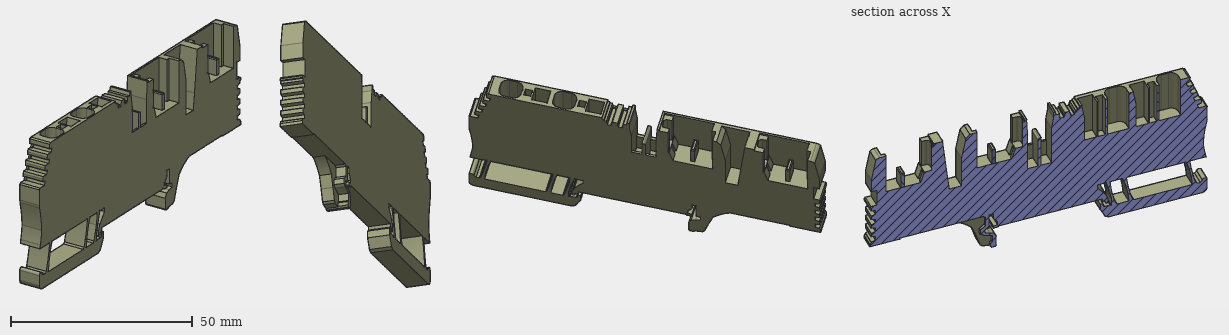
import cadquery as cq
WIDTH = 6.5
HALF_LENGTH = 50.0
HEIGHT = 42.7

SOLE = 11.5
LATCH_CEILING = 11.8
FOOT_CEILING = 12.5
RAIL_SEAT = 7.0

OUTER_WALL = 0.6
THICK_WALL = 0.9

TOOTH_TIP = 49.6
TOOTH_ROOT = 48.4
TOOTH_GAP_COUNT = 4
TOOTH_PITCH = 3.1
FIRST_TOOTH_GAP = 14.1
TOOTH_MOUTH = 1.8
TOOTH_FLOOR = 1.1

RIDGE_COUNT = 4
RIDGE_RUN = 1.1
RIDGE_DROP = 2.9
RIDGE_START_Y = -45.0
RIDGE_START_Z = 41.0
RIDGE_SHELF_DROP = 1.4
NOTCH_DEPTH = 0.8
NOTCH_FOOT_DEPTH = 0.4
NOTCH_TAPER = 0.3
SHELF_REACH = 0.9
SHELF_BEVEL = 0.7
SHELF_CHAMFER = 0.4

GROOVE_EXTRA = 0.4

SLOT_FLOOR = 30.0
SLOT_PLUS_Y = 3.2
SLOT_MINUS_Y = -3.8
TONGUE_PLUS_Y = 0.2
TONGUE_MINUS_Y = -0.8
TONGUE_TOP = 34.8
TONGUE_RADIUS = 0.5
SLOT_FLARE_Z = 37.3
SLOT_POCKET_DEPTH = 5.0

POCKET_PITCH = 27.0
POCKET_FLOOR = SLOT_FLOOR
POCKET_CENTRE_X = (OUTER_WALL + WIDTH) / 2
FIRST_POCKET_Y = 46.3
POCKET_STEP = 1.1
POCKET_LENGTH = 12.7
GUIDE_LENGTH = 2.5
GUIDE_DROP = 0.6
GUIDE_RAMP_TOP = 33.4
GUIDE_RAMP_LENGTH = 1.1
GUIDE_LEDGE = 0.3
GUIDE_GROOVE_WIDTH = 2.8
GUIDE_GROOVE_LENGTH = 2.2
GUIDE_GROOVE_RADIUS = 0.9
GUIDE_SLIT_WIDTH = 0.9

BLADE_COUNT = 2
BLADE_CENTRE_X = 3.4
BLADE_WIDTH = 3.9
BLADE_THICKNESS = 1.2
BLADE_HEIGHT = 5.0
BLADE_CHAMFER = 0.3
FIRST_BLADE_Y = 40.3

PLAIN_POCKET_PLUS_Y = 28.4
PLAIN_POCKET_MINUS_Y = 20.4
PLAIN_POCKET_FLOOR = 25.0

TERMINAL_PITCH = 15.3
TERMINAL_COUNT = 2
FIRST_TERMINAL_Y = -15.0
SQUARE_WIDTH = 4.2
SQUARE_LENGTH = 4.4
SQUARE_RAMP_LENGTH = 0.9
SQUARE_RAMP_DEPTH = 5.0
TEST_HOLE_WIDTH = 2.0
TEST_HOLE_LENGTH = 2.0
TEST_HOLE_OFFSET = 3.7
WIRE_HOLE_WIDTH = 5.6
WIRE_HOLE_LENGTH = 6.3
WIRE_HOLE_RADIUS = 2.0
WIRE_HOLE_OFFSET = 8.6
OPENING_FLOOR = SLOT_FLOOR

WEB_START_X = 3.0
FOOT_DECK = 4.0
STRUT_PITCH = 18.8
CURVED_STRUT_COUNT = 2
FIRST_STRUT_Y = -24.9

LATCH_ROOT = LATCH_CEILING + 1.0


def plate(outline, x_start=0.0, x_end=WIDTH):
    """Extrude a closed (Y, Z) outline along X."""
    return cq.Workplane("YZ", origin=(x_start, 0, 0)).polyline(outline).close().extrude(x_end - x_start)


def block(x_range, y_range, z_range):
    """Axis-aligned box between the given limits."""
    size = [high - low for low, high in (x_range, y_range, z_range)]
    corner = (x_range[0], y_range[0], z_range[0])
    return cq.Workplane("XY").box(*size, centered=False).translate(corner)


def centred(middle, size):
    """Limits of a stretch of the given size about its middle."""
    return (middle - size / 2, middle + size / 2)


def ridge_tip(index):
    """Lower corner of a ridge on the -Y end, counted from the top."""
    return RIDGE_START_Y - index * RIDGE_RUN, RIDGE_START_Z - index * RIDGE_DROP


def ridge_outline():
    """Notches between the ridges, from the housing top down to the shelf below the last ridge."""
    points = [(RIDGE_START_Y + 0.6, HEIGHT), (RIDGE_START_Y, HEIGHT - 0.3)]
    for index in range(RIDGE_COUNT):
        y, z = ridge_tip(index)
        shelf_z = z - RIDGE_SHELF_DROP
        points += [(y, z), (y + NOTCH_DEPTH, z - NOTCH_TAPER)]
        points += [(y + NOTCH_FOOT_DEPTH, shelf_z), (y - SHELF_REACH, shelf_z)]
        if index < RIDGE_COUNT - 1:
            points.append((y - RIDGE_RUN, shelf_z - SHELF_BEVEL))
    return points


def housing_outline():
    """Housing side face before the tooth gaps, slot and label grooves are cut, without latch and foot."""
    shelf_z = ridge_tip(RIDGE_COUNT - 1)[1] - RIDGE_SHELF_DROP
    rail_block = [
        (13.4, LATCH_CEILING), (13.4, 10.2), (12.2, 8.5), (12.2, 7.7), (13.4, 7.6), (13.4, 6.7), (12.0, 6.7),
        (11.7, RAIL_SEAT), (-18.8, RAIL_SEAT),
        (-19.0, 6.1), (-19.7, 5.8), (-20.0, 5.2), (-20.6, 5.2), (-20.6, 6.8), (-20.0, 8.4), (-17.6, 11.4),
        (-17.6, FOOT_CEILING),
    ]
    plus_y_end = [
        (48.3, 42.1), (TOOTH_TIP, 35.5), (TOOTH_TIP, 31.1), (48.0, 31.1), (48.0, 26.0), (49.7, 26.0),
        (HALF_LENGTH, 25.6), (HALF_LENGTH, 25.1), (TOOTH_TIP, 25.0), (TOOTH_TIP, 13.1),
        (HALF_LENGTH, 12.4), (HALF_LENGTH, SOLE), (41.1, SOLE), (41.1, LATCH_CEILING),
    ]
    return (
        cq.Workplane("YZ")
        .moveTo(47.1, HEIGHT)
        .threePointArc((47.8, 42.5), plus_y_end[0])
        .polyline(plus_y_end[1:] + rail_block, includeCurrent=True)
        .lineTo(-49.7, FOOT_CEILING)
        .lineTo(-49.5, 13.6)
        .threePointArc((-49.1, 15.7), (-48.9, 17.8))
        .threePointArc((-49.2, 21.4), (-49.9, 25.0))
        .lineTo(-HALF_LENGTH, 25.8)
        .lineTo(-HALF_LENGTH, shelf_z - SHELF_CHAMFER)
        .lineTo(-HALF_LENGTH + SHELF_CHAMFER, shelf_z)
        .polyline(ridge_outline()[::-1], includeCurrent=True)
        .close()
    )


def tooth_gaps():
    """Tapered gaps between the grip teeth of the +Y end."""
    gaps = []
    for index in range(TOOTH_GAP_COUNT):
        z = FIRST_TOOTH_GAP + index * TOOTH_PITCH
        mouth_low, mouth_high = centred(z, TOOTH_MOUTH)
        floor_low, floor_high = centred(z, TOOTH_FLOOR)
        gaps.append(plate([
            (HALF_LENGTH, mouth_low), (TOOTH_TIP, mouth_low), (TOOTH_ROOT, floor_low),
            (TOOTH_ROOT, floor_high), (TOOTH_TIP, mouth_high), (HALF_LENGTH, mouth_high),
        ]))
    return gaps


def ridge_reliefs():
    """Extra depth of the ridge notches behind the outer wall."""
    reliefs = []
    for index in range(RIDGE_COUNT):
        y, z = ridge_tip(index)
        shelf_z = z - RIDGE_SHELF_DROP
        reliefs.append(plate([
            (y + NOTCH_DEPTH, z - NOTCH_TAPER),
            (y + NOTCH_DEPTH + GROOVE_EXTRA, z - NOTCH_TAPER),
            (y + NOTCH_FOOT_DEPTH + GROOVE_EXTRA, shelf_z),
            (y + NOTCH_FOOT_DEPTH, shelf_z),
        ], OUTER_WALL))
    return reliefs


def label_recess():
    """Recess with two grooves and a rib between them that holds a marker strip."""
    groove_floor = 40.5
    rib_top = 41.7
    recess = plate([
        (-5.0, HEIGHT), (-5.3, rib_top), (-6.2, rib_top), (-6.2, groove_floor), (-7.7, groove_floor),
        (-7.7, rib_top), (-9.2, rib_top), (-9.5, groove_floor), (-10.7, groove_floor), (-10.9, 41.5),
        (-11.5, 41.6), (-11.6, 41.9), (-12.2, 42.2), (-12.2, HEIGHT),
    ])
    deep = (groove_floor - GROOVE_EXTRA, groove_floor)
    inner = (OUTER_WALL, WIDTH)
    return [recess, block(inner, (-7.5, -6.4), deep), block(inner, (-10.6, -9.6), deep)]


def bridge_slot():
    """Slot in the top, leaving the tongue, with a pocket on each side of the tongue."""
    slot = plate([
        (3.5, HEIGHT), (SLOT_PLUS_Y, SLOT_FLARE_Z), (SLOT_PLUS_Y, SLOT_FLOOR), (SLOT_MINUS_Y, SLOT_FLOOR),
        (SLOT_MINUS_Y, SLOT_FLARE_Z), (-4.4, 41.0), (-4.4, HEIGHT),
    ])
    tongue = (
        block((0, WIDTH), (TONGUE_MINUS_Y, TONGUE_PLUS_Y), (SLOT_FLOOR, TONGUE_TOP))
        .edges(">Y and >Z").fillet(TONGUE_RADIUS)
    )
    across = (THICK_WALL, WIDTH - OUTER_WALL)
    depth = (SLOT_FLOOR - SLOT_POCKET_DEPTH, SLOT_FLOOR)
    return [
        slot.cut(tongue),
        block(across, (TONGUE_PLUS_Y, SLOT_PLUS_Y), depth),
        block(across, (SLOT_MINUS_Y, TONGUE_MINUS_Y), depth),
    ]


def blade_pocket(index):
    """Pocket for one contact blade, with a grooved guide block at its -Y end."""
    plus_y = FIRST_POCKET_Y - index * POCKET_PITCH
    guide_face = plus_y - POCKET_LENGTH
    ramp_head = guide_face + GUIDE_LEDGE
    ramp_foot = ramp_head + GUIDE_RAMP_LENGTH
    guide_top = HEIGHT - GUIDE_DROP
    pocket = plate([
        (plus_y, HEIGHT), (plus_y, POCKET_FLOOR), (ramp_foot, POCKET_FLOOR), (ramp_head, GUIDE_RAMP_TOP),
        (guide_face, GUIDE_RAMP_TOP), (guide_face, guide_top), (guide_face - GUIDE_LENGTH, guide_top),
        (guide_face - GUIDE_LENGTH, HEIGHT),
    ], OUTER_WALL)
    step = block((OUTER_WALL, WIDTH / 2), (plus_y - POCKET_STEP, plus_y), (POCKET_FLOOR, HEIGHT))
    groove = block(
        centred(POCKET_CENTRE_X, GUIDE_GROOVE_WIDTH),
        (guide_face - GUIDE_GROOVE_LENGTH, guide_face),
        (GUIDE_RAMP_TOP, guide_top),
    ).faces("<Y").edges("|Z").fillet(GUIDE_GROOVE_RADIUS)
    slit = block(
        centred(POCKET_CENTRE_X, GUIDE_SLIT_WIDTH), (ramp_head, ramp_foot), (POCKET_FLOOR, GUIDE_RAMP_TOP)
    )
    return [pocket.cut(step), groove, slit]


def plain_pocket():
    """Pocket with tapering ends between the two blade pockets, open towards +X."""
    taper_z = 30.0
    shoulder_z = 35.0
    pocket = plate([
        (PLAIN_POCKET_PLUS_Y, HEIGHT), (PLAIN_POCKET_PLUS_Y - 1.4, taper_z),
        (PLAIN_POCKET_PLUS_Y - 2.0, PLAIN_POCKET_FLOOR), (PLAIN_POCKET_MINUS_Y + 2.5, PLAIN_POCKET_FLOOR),
        (PLAIN_POCKET_MINUS_Y + 2.5, shoulder_z), (PLAIN_POCKET_MINUS_Y + 1.2, HEIGHT - 1.2),
        (PLAIN_POCKET_MINUS_Y, HEIGHT),
    ], THICK_WALL)
    return [pocket]


def terminal_openings(index):
    """Square, test and wire openings of one terminal."""
    y = FIRST_TERMINAL_Y - index * TERMINAL_PITCH
    x = WIDTH / 2
    depth = (OPENING_FLOOR, HEIGHT)
    square_plus_y = y + SQUARE_LENGTH / 2
    square_minus_y = y - SQUARE_LENGTH / 2
    square = plate([
        (square_plus_y, HEIGHT), (square_plus_y - SQUARE_RAMP_LENGTH, HEIGHT - SQUARE_RAMP_DEPTH),
        (square_plus_y - SQUARE_RAMP_LENGTH, OPENING_FLOOR), (square_minus_y, OPENING_FLOOR),
        (square_minus_y, HEIGHT),
    ], *centred(x, SQUARE_WIDTH))
    test_hole = block(centred(x, TEST_HOLE_WIDTH), centred(y - TEST_HOLE_OFFSET, TEST_HOLE_LENGTH), depth)
    wire_hole = block(
        centred(x, WIRE_HOLE_WIDTH), centred(y - WIRE_HOLE_OFFSET, WIRE_HOLE_LENGTH), depth
    ).edges("|Z").fillet(WIRE_HOLE_RADIUS)
    return [square, test_hole, wire_hole]


def rail_latch():
    """Flexible hook gripping one rail edge, stiffened by a web behind it."""
    return plate([
        (16.4, LATCH_ROOT), (16.4, LATCH_CEILING), (15.8, 11.3), (15.8, 8.5), (17.3, 7.3),
        (17.3, 5.8), (16.4, 5.1), (13.8, 4.1), (13.8, 2.0), (14.3, 1.5), (14.3, 0.5), (13.9, 0),
        (12.8, 0), (12.5, 0.4), (12.5, 3.7), (13.2, 5.0), (14.5, 5.5), (15.8, 5.9), (15.8, 7.0),
        (14.6, 7.2), (14.6, LATCH_ROOT),
    ])


def latch_web():
    """Web behind the latch hook, curving out from the housing underside."""
    return (
        cq.Workplane("YZ", origin=(WEB_START_X, 0, 0))
        .moveTo(15.2, LATCH_CEILING)
        .lineTo(24.3, LATCH_CEILING)
        .threePointArc((22.0, 10.5), (19.4, 8.2))
        .lineTo(18.1, 4.7)
        .lineTo(17.0, 1.3)
        .lineTo(16.4, 0.7)
        .lineTo(13.8, 0.3)
        .lineTo(13.8, 4.4)
        .lineTo(16.6, 5.5)
        .lineTo(16.6, 7.6)
        .lineTo(15.2, 8.5)
        .close()
        .extrude(WIDTH - WEB_START_X)
    )


def foot_bar():
    """Bar at the bottom with a lip at each end."""
    return (
        cq.Workplane("YZ")
        .polyline([
            (-47.9, FOOT_DECK), (-21.6, FOOT_DECK), (-21.2, 4.3), (-19.5, 4.3), (-19.1, 4.7), (-19.1, 5.5),
            (-18.2, 5.5), (-18.2, 3.5), (-19.7, 0.6), (-20.7, 0), (-48.5, 0),
        ])
        .threePointArc((-49.6, 0.5), (-HALF_LENGTH, 1.5))
        .lineTo(-HALF_LENGTH, 4.5)
        .threePointArc((-49.2, 5.2), (-48.5, 4.6))
        .close()
        .extrude(WIDTH)
    )


def end_strut():
    """Strut next to the rail hook of the foot."""
    return plate([
        (-20.0, FOOT_CEILING), (-20.1, 12.0), (-21.0, 9.0), (-21.6, 6.2), (-21.6, FOOT_DECK),
        (-23.3, FOOT_DECK), (-22.9, 4.5), (-21.7, 8.9), (-21.3, 12.0), (-21.3, FOOT_CEILING),
    ])


def curved_strut(index):
    """Slightly bowed strut between the housing and the foot bar."""
    y = FIRST_STRUT_Y - index * STRUT_PITCH
    return (
        cq.Workplane("YZ")
        .moveTo(y, FOOT_CEILING)
        .threePointArc((y - 1.1, 8.8), (y - 1.8, FOOT_DECK))
        .lineTo(y - 3.3, FOOT_DECK)
        .lineTo(y - 2.9, FOOT_DECK + 0.5)
        .threePointArc((y - 1.9, 8.4), (y - 1.2, FOOT_CEILING))
        .close()
        .extrude(WIDTH)
    )


def make_housing():
    """Housing with its rail latch and foot, all openings cut."""
    body = housing_outline().extrude(WIDTH)
    struts = [curved_strut(index) for index in range(CURVED_STRUT_COUNT)]
    for part in [rail_latch(), latch_web(), foot_bar(), end_strut()] + struts:
        body = body.union(part)
    cutters = tooth_gaps() + ridge_reliefs() + label_recess() + bridge_slot() + plain_pocket()
    for index in range(BLADE_COUNT):
        cutters += blade_pocket(index)
    for index in range(TERMINAL_COUNT):
        cutters += terminal_openings(index)
    for cutter in cutters:
        body = body.cut(cutter)
    return body


def make_blade(index):
    """Contact blade with a chamfered tip, standing on its pocket's floor."""
    y = FIRST_BLADE_Y - index * POCKET_PITCH
    blade = block(
        centred(BLADE_CENTRE_X, BLADE_WIDTH),
        centred(y, BLADE_THICKNESS),
        (POCKET_FLOOR, POCKET_FLOOR + BLADE_HEIGHT),
    )
    return blade.faces(">Z").chamfer(BLADE_CHAMFER)


housing = make_housing()
blades = [make_blade(index) for index in range(BLADE_COUNT)]
result = cq.Compound.makeCompound([housing.val()] + [blade.val() for blade in blades])